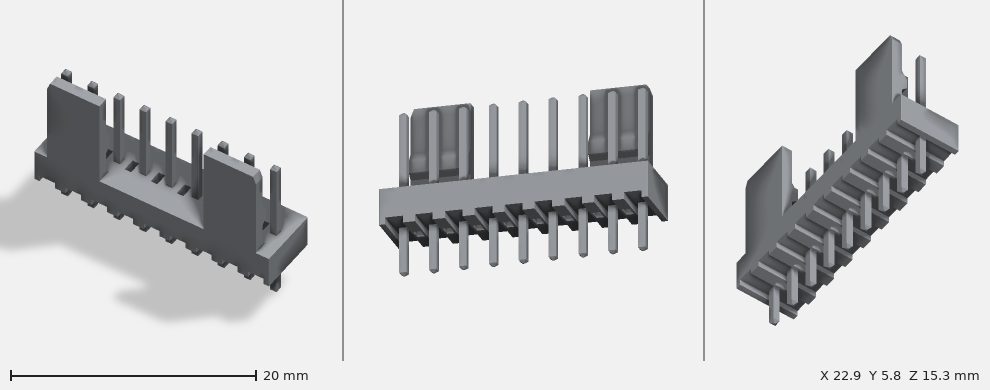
import cadquery as cq

pin_count = 9
body_length = 22.85
body_depth = 5.8
body_height = 3.13
corner_radius = 0.05
pitch = body_length / pin_count

groove_width = 1.5
groove_height = 0.6

slot_width = 0.65
slot_depth = 1.21

total_height = 15.27
pin_width = 0.65
pin_tail = 3.55
pin_below_wing_top = 1.05
tip_height = 0.23
tip_flat = 0.14

wing_length = 2 * pitch
wing_height = total_height - pin_tail - body_height
wing_thickness = 1.0
wing_offset = 3 * pitch
wing_root_radius = 0.65
wing_corner_run = 0.27
wing_corner_drop = 0.7

bump_projection = 0.5
bump_bottom = 2.38
bump_flat_bottom = 2.83
bump_flat_top = 3.9
bump_top = 4.69

front_y = -body_depth / 2
pin_bottom = -pin_tail
pin_top = body_height + wing_height - pin_below_wing_top


def centred_positions(count):
    """X positions of a row of items one pitch apart, centred on the part."""
    return [(i - (count - 1) / 2) * pitch for i in range(count)]


pin_positions = centred_positions(pin_count)
slot_positions = centred_positions(pin_count - 1)


def make_body():
    block = cq.Workplane("XY").box(body_length, body_depth, body_height, centered=(True, True, False))
    block = block.edges("|Z").fillet(corner_radius)
    grooves = (
        cq.Workplane("XY")
        .pushPoints([(x, 0) for x in pin_positions])
        .rect(groove_width, body_depth)
        .extrude(groove_height)
    )
    slots = (
        cq.Workplane("XY")
        .pushPoints([(x, 0) for x in slot_positions])
        .rect(slot_width, slot_depth)
        .extrude(body_height)
    )
    return block.cut(grooves).cut(slots)


def make_tip(x, base_z, end_z):
    """Blunt pyramid from the full pin section at base_z to the small flat at end_z."""
    return (
        cq.Workplane("XY", origin=(x, 0, base_z))
        .rect(pin_width, pin_width)
        .workplane(offset=end_z - base_z)
        .rect(tip_flat, tip_flat)
        .loft(ruled=True)
    )


def make_pin(x):
    shank_bottom = pin_bottom + tip_height
    shank_top = pin_top - tip_height
    shank = (
        cq.Workplane("XY", origin=(x, 0, shank_bottom))
        .rect(pin_width, pin_width)
        .extrude(shank_top - shank_bottom)
    )
    upper_tip = make_tip(x, shank_top, pin_top)
    lower_tip = make_tip(x, shank_bottom, pin_bottom)
    return shank.union(upper_tip).union(lower_tip)


def make_wing(side):
    """Latch wing; side is -1 for the left wing and +1 for the right one."""
    inner_y = front_y + wing_thickness
    bump_y = inner_y + bump_projection
    centre_x = side * wing_offset
    outer_x = centre_x + side * wing_length / 2
    top_z = body_height + wing_height

    profile = (
        cq.Workplane("YZ", origin=(centre_x, 0, 0))
        .moveTo(front_y, groove_height)
        .lineTo(front_y, top_z)
        .lineTo(inner_y, top_z)
        .lineTo(inner_y, body_height + bump_top)
        .lineTo(bump_y, body_height + bump_flat_top)
        .lineTo(bump_y, body_height + bump_flat_bottom)
        .lineTo(inner_y, body_height + bump_bottom)
        .lineTo(inner_y, body_height + wing_root_radius)
        .radiusArc((inner_y + wing_root_radius, body_height), -wing_root_radius)
        .lineTo(inner_y + wing_root_radius, groove_height)
        .close()
    )
    wing = profile.extrude(wing_length / 2, both=True)

    corner = (
        cq.Workplane("XZ", origin=(0, front_y, 0))
        .moveTo(outer_x, top_z)
        .lineTo(outer_x - side * wing_corner_run, top_z)
        .lineTo(outer_x, top_z - wing_corner_drop)
        .close()
        .extrude(-wing_thickness)
    )
    return wing.cut(corner)


result = make_body()
for wing_side in (-1, 1):
    result = result.union(make_wing(wing_side))
for pin_x in pin_positions:
    result = result.union(make_pin(pin_x))